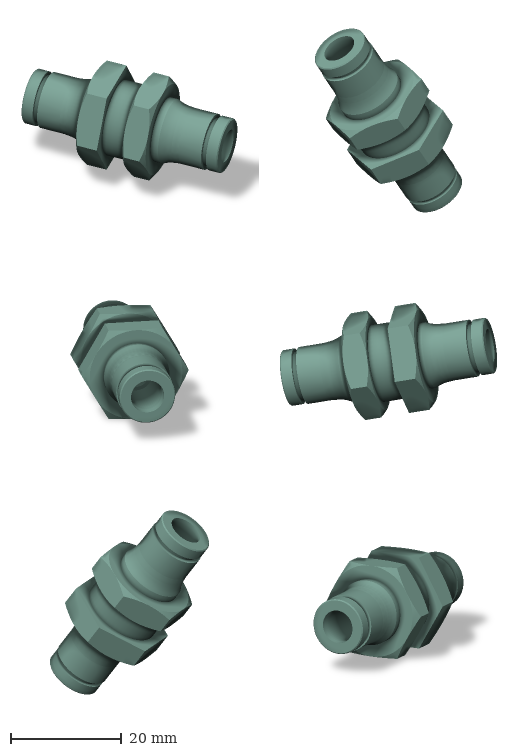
import cadquery as cq
import math

length = 38.0
half_length = length / 2
across_flats = 17.0
across_corners = across_flats / math.cos(math.radians(30))

collar_chamfer = 0.2
collar_end = 2.2
groove_end = 3.1
sleeve_end = 7.5
taper_end = 8.8
flare_end = 11.15
collar_radius = 5.1
groove_radius = 4.45
sleeve_radius = 5.2
taper_radius = 5.32
shoulder_radius = 6.0

hex_start = -half_length + 11.95
hex_thickness = 4.55
nut_start = -half_length + 20.98
nut_thickness = 4.5
nut_end = nut_start + nut_thickness
barrel_radius = 7.03
corner_chamfer_angle = 30.0

bore_radius = 2.4
socket_radius = 3.05
socket_depth = 11.95


def along_x(start):
    """YZ workplane at the given X position."""
    return cq.Workplane("YZ", origin=(start, 0, 0))


def bevel_envelope(start, thickness, chamfer_back):
    """Turned envelope that bevels hexagon corners at the front and optionally the back."""
    face_radius = across_flats / 2
    corner_radius = across_corners / 2
    bevel_depth = (corner_radius - face_radius) * math.tan(math.radians(corner_chamfer_angle))
    end = start + thickness
    profile = (
        cq.Workplane("XY")
        .moveTo(start, 0)
        .lineTo(start, face_radius)
        .lineTo(start + bevel_depth, corner_radius)
    )
    if chamfer_back:
        profile = profile.lineTo(end - bevel_depth, corner_radius).lineTo(end, face_radius)
    else:
        profile = profile.lineTo(end, corner_radius)
    return profile.lineTo(end, 0).close().revolve(360, (0, 0, 0), (1, 0, 0))


def make_hexagon(start, thickness, chamfer_back):
    """Hexagonal block with corners pointing along Y and bevelled corners."""
    block = along_x(start).polygon(6, across_corners).extrude(thickness)
    return block.intersect(bevel_envelope(start, thickness, chamfer_back))


def make_tube_end():
    """Solid left-hand tube end: collar, groove, sleeve and flared shoulder, up to the middle."""
    end = -half_length
    return (
        cq.Workplane("XY")
        .moveTo(end, 0)
        .lineTo(end, collar_radius - collar_chamfer)
        .lineTo(end + collar_chamfer, collar_radius)
        .lineTo(end + collar_end, collar_radius)
        .lineTo(end + collar_end, groove_radius)
        .lineTo(end + groove_end, groove_radius)
        .lineTo(end + groove_end, sleeve_radius)
        .lineTo(end + sleeve_end, sleeve_radius)
        .lineTo(end + taper_end, taper_radius)
        .tangentArcPoint((end + flare_end, shoulder_radius), relative=False)
        .lineTo(0, shoulder_radius)
        .lineTo(0, 0)
        .close()
        .revolve(360, (0, 0, 0), (1, 0, 0))
    )


def make_housing():
    """Fitting body: two tube ends, fixed hexagon, threaded barrel and through bore."""
    tube_end = make_tube_end()
    barrel = along_x(hex_start).circle(barrel_radius).extrude(nut_end - hex_start)
    body = tube_end.union(tube_end.mirror("YZ")).union(barrel)
    body = body.union(make_hexagon(hex_start, hex_thickness, chamfer_back=False))
    body = body.cut(along_x(-half_length).circle(bore_radius).extrude(length))
    for socket_start in (-half_length, half_length - socket_depth):
        body = body.cut(along_x(socket_start).circle(socket_radius).extrude(socket_depth))
    return body


def make_nut():
    """Locknut on the barrel, bevelled on both faces."""
    hole = along_x(nut_start).circle(barrel_radius).extrude(nut_thickness)
    return make_hexagon(nut_start, nut_thickness, chamfer_back=True).cut(hole)


housing = make_housing()
nut = make_nut()
result = cq.Compound.makeCompound([housing.solids().val(), nut.solids().val()])